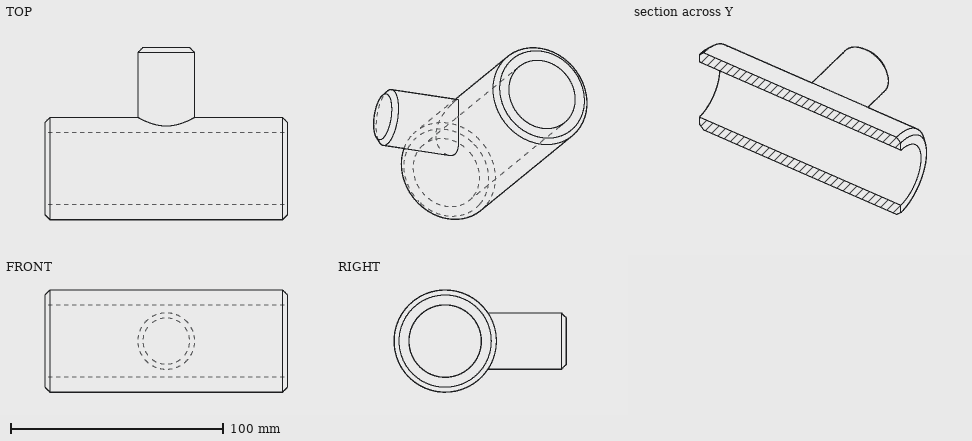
import cadquery as cq

run_length = 114.3
run_diameter = 48.26
bore_diameter = 34.0

branch_diameter = 26.67
branch_reach = 57.15

bevel_size = 2.4


def make_run():
    """Solid main cylinder with both ends beveled."""
    start_plane = cq.Workplane("YZ", origin=(-run_length / 2, 0, 0))
    cylinder = start_plane.circle(run_diameter / 2).extrude(run_length)
    return cylinder.faces("<X or >X").edges().chamfer(bevel_size)


def make_branch():
    """Side cylinder starting on the main axis, beveled at its tip."""
    cylinder = cq.Workplane("XZ").circle(branch_diameter / 2).extrude(-branch_reach)
    return cylinder.faces(">Y").edges().chamfer(bevel_size)


def make_bore():
    """Straight passage through the whole main pipe."""
    start_plane = cq.Workplane("YZ", origin=(-run_length / 2, 0, 0))
    return start_plane.circle(bore_diameter / 2).extrude(run_length)


result = make_run().union(make_branch()).cut(make_bore())